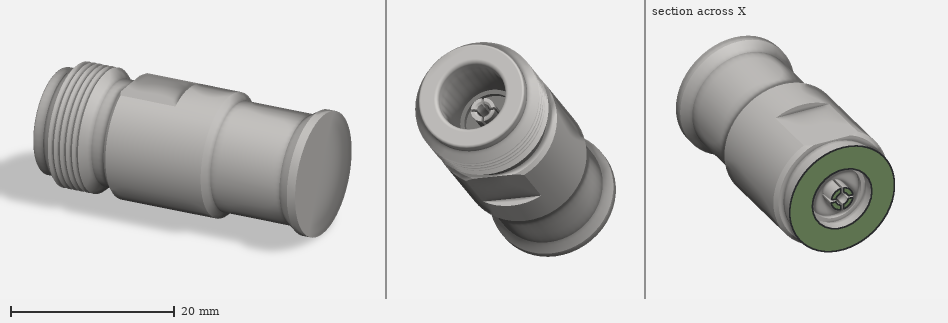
import cadquery as cq

length = 36.33
outer_diameter = 15.8
outer_radius = outer_diameter / 2

nose_diameter = 13.48
nose_radius = nose_diameter / 2
nose_edge_fillet = 0.3
thread_cone_start = 1.45
thread_first_crest = 2.65
thread_last_crest = 6.75
thread_pitch_count = 5
thread_pitch = (thread_last_crest - thread_first_crest) / thread_pitch_count
thread_depth = 0.47
thread_cone_end = 8.03

body_start = 10.03
body_front_chamfer = 0.47
body_end = 24.35
body_rear_cone_length = 0.87
flat_spacing = 13.95
flat_height = flat_spacing / 2
flat_end = 18.0

sleeve_radius = 6.98
flange_cone_start = 33.75
flange_rim_start = 35.2

mouth_fillet = 0.5
bore_front_radius = 4.25
bore_rear_radius = 4.05
bore_depth = 9.1
well_radius = 3.5
socket_depth = 9.8

contact_radius = 1.53
contact_bore_radius = 0.85
contact_tip = 5.1
contact_lead_in = 0.25
contact_slot_width = 0.33


def make_shell():
    """Revolve the outer outline, then round the front edge."""
    outline = cq.Workplane("XY").lineTo(0, nose_radius).lineTo(thread_cone_start, nose_radius)
    outline = outline.lineTo(thread_first_crest, outer_radius)
    for pitch_index in range(thread_pitch_count):
        crest = thread_first_crest + pitch_index * thread_pitch
        outline = outline.lineTo(crest + thread_pitch / 2, outer_radius - thread_depth)
        outline = outline.lineTo(crest + thread_pitch, outer_radius)
    outline = (
        outline.lineTo(thread_cone_end, nose_radius)
        .lineTo(body_start, nose_radius)
        .lineTo(body_start, outer_radius - body_front_chamfer)
        .lineTo(body_start + body_front_chamfer, outer_radius)
        .lineTo(body_end - body_rear_cone_length, outer_radius)
        .lineTo(body_end, sleeve_radius)
        .lineTo(flange_cone_start, sleeve_radius)
        .lineTo(flange_rim_start, outer_radius)
        .lineTo(length, outer_radius)
        .lineTo(length, 0)
        .close()
    )
    shell = outline.revolve(360, (0, 0, 0), (1, 0, 0))
    return shell.faces("<X").edges().fillet(nose_edge_fillet)


def cut_flats(shell):
    """Mill a flat on the +Z and -Z sides of the body."""
    flat_length = flat_end - body_start
    cutter_height = outer_radius - flat_height
    for side in (1, -1):
        cutter = cq.Workplane("XY").box(flat_length, outer_diameter, cutter_height)
        cutter_x = body_start + flat_length / 2
        cutter_z = side * (flat_height + cutter_height / 2)
        shell = shell.cut(cutter.translate((cutter_x, 0, cutter_z)))
    return shell


def make_socket():
    """Hollow with a rounded mouth, a slightly tapered bore and a narrower well."""
    outline = (
        cq.Workplane("XY")
        .lineTo(0, bore_front_radius + mouth_fillet)
        .radiusArc((mouth_fillet, bore_front_radius), -mouth_fillet)
        .lineTo(bore_depth, bore_rear_radius)
        .lineTo(bore_depth, well_radius)
        .lineTo(socket_depth, well_radius)
        .lineTo(socket_depth, 0)
        .close()
    )
    return outline.revolve(360, (0, 0, 0), (1, 0, 0))


def make_contact():
    """Tube with a chamfered lead-in, split into four fingers by crossed slots."""
    contact_length = socket_depth - contact_tip
    tube = (
        cq.Workplane("YZ", origin=(contact_tip, 0, 0))
        .circle(contact_radius)
        .circle(contact_bore_radius)
        .extrude(contact_length)
    )
    tube = tube.faces("<X").edges(cq.selectors.RadiusNthSelector(0)).chamfer(contact_lead_in)
    slots = (
        cq.Workplane("YZ", origin=(contact_tip, 0, 0))
        .rect(2 * contact_radius, contact_slot_width)
        .extrude(contact_length)
    )
    slots = slots.union(slots.rotate((0, 0, 0), (1, 0, 0), 90))
    return tube.cut(slots)


result = cut_flats(make_shell()).cut(make_socket()).union(make_contact())